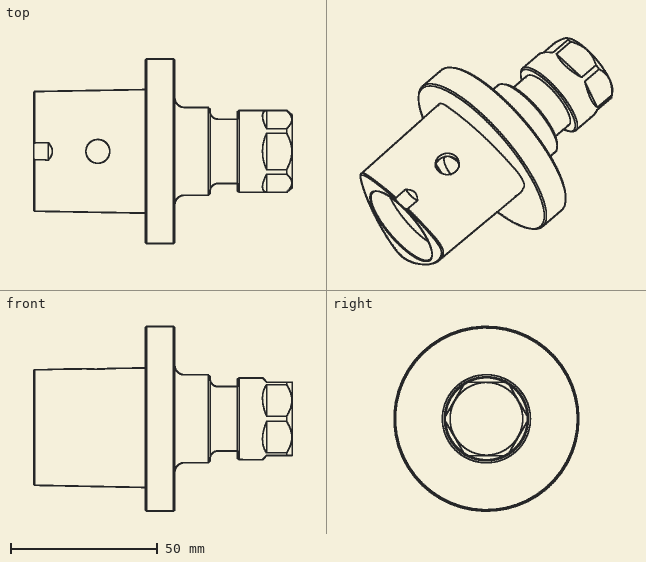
import cadquery as cq
import math

TOTAL_LENGTH = 88.1
FLANGE_START = 38.0
FLANGE_END = 48.1
SHANK_END = 60.1
NUT_START = 69.4

FLANGE_DIAMETER = 63.0
FLANGE_CHAMFER = 0.5
SHANK_DIAMETER = 30.0
SHANK_CHAMFER = 0.7
SHANK_FILLET = 3.2
NECK_DIAMETER = 22.0
NECK_FILLET = 2.6

LOBE_CENTRE_OFFSET = 17.4
LOBE_RADIUS = 6.0
SIDE_DISTANCE = 17.35
TAPER_END_SCALE = 0.968
LOBE_ANGLES = (30, 150, 270)
LOBE_SPACING = 120
TAPER_EDGE_CHAMFER = 0.4

MOUTH_DIAMETER = 30.0
MOUTH_CHAMFER = 0.3
MOUTH_DEPTH = 6.25
LIP_START = 7.4
LIP_START_RADIUS = 14.7
LIP_DIAMETER = 27.9
LIP_RADIUS = 3.5
CAVITY_DIAMETER = 30.0
CAVITY_DEPTH = 28.2
COUNTERBORE_DIAMETER = 16.5
COUNTERBORE_DEPTH = FLANGE_END
CORE_DIAMETER = 10.6

CROSS_HOLE_DIAMETER = 8.1
CROSS_HOLE_X = 21.85
KEYWAY_DIAMETER = 8.1
KEYWAY_FLOOR_Z = 15.5
KEYWAY_LENGTH = 5.0

NUT_DIAMETER = 27.9
NUT_BACK_CHAMFER = 0.5
NUT_FRONT_CHAMFER_LENGTH = 1.9
NUT_FRONT_CHAMFER_DEPTH = 1.6
FLAT_COUNT = 6
FLAT_DISTANCE = 12.5
FLAT_START = 79.4


def polar(distance, degrees):
    """Point at a distance and angle from the section centre."""
    angle = math.radians(degrees)
    return (distance * math.cos(angle), distance * math.sin(angle))


def revolve_about_x(profile):
    """Turn a closed (x, radius) profile about the X axis."""
    return profile.close().revolve(360, (0, 0, 0), (1, 0, 0))


def lobed_section(x, scale):
    """Rounded triangle of three flat-crowned sides tangent to three lobes."""
    centre_gap = LOBE_CENTRE_OFFSET ** 2 + SIDE_DISTANCE ** 2 - LOBE_RADIUS ** 2
    along_side = LOBE_CENTRE_OFFSET * math.cos(math.radians(LOBE_SPACING / 2))
    side_radius = (centre_gap - 2 * SIDE_DISTANCE * along_side) / (
        2 * (SIDE_DISTANCE - LOBE_RADIUS - along_side)
    )
    side_centre = side_radius - SIDE_DISTANCE
    across = LOBE_CENTRE_OFFSET * math.sin(math.radians(LOBE_SPACING / 2))
    side_half_angle = math.degrees(math.atan2(across, side_centre + along_side))
    tangent_angle = LOBE_SPACING / 2 - side_half_angle

    def lobe_point(lobe, turn):
        centre = polar(LOBE_CENTRE_OFFSET * scale, lobe)
        rim = polar(LOBE_RADIUS * scale, lobe + turn)
        return (centre[0] + rim[0], centre[1] + rim[1])

    section = cq.Workplane("YZ", origin=(x, 0, 0))
    section = section.moveTo(*lobe_point(LOBE_ANGLES[0], -tangent_angle))
    for lobe in LOBE_ANGLES:
        side_middle = polar(SIDE_DISTANCE * scale, lobe + LOBE_SPACING / 2)
        section = section.threePointArc(lobe_point(lobe, 0), lobe_point(lobe, tangent_angle))
        section = section.threePointArc(side_middle, lobe_point(lobe + LOBE_SPACING, -tangent_angle))
    return section.close().val()


def make_taper():
    wires = [lobed_section(0, TAPER_END_SCALE), lobed_section(FLANGE_START, 1)]
    taper = cq.Workplane(cq.Solid.makeLoft(wires, True))
    return taper.faces("<X").chamfer(TAPER_EDGE_CHAMFER)


def make_turned_blank():
    """Flange, shank and neck as one turned shape."""
    flange_radius = FLANGE_DIAMETER / 2
    shank_radius = SHANK_DIAMETER / 2
    neck_radius = NECK_DIAMETER / 2
    arc_inset = 1 - math.sqrt(0.5)
    profile = (
        cq.Workplane("XY")
        .moveTo(FLANGE_START, 0)
        .lineTo(FLANGE_START, flange_radius - FLANGE_CHAMFER)
        .lineTo(FLANGE_START + FLANGE_CHAMFER, flange_radius)
        .lineTo(FLANGE_END - FLANGE_CHAMFER, flange_radius)
        .lineTo(FLANGE_END, flange_radius - FLANGE_CHAMFER)
        .lineTo(FLANGE_END, shank_radius + SHANK_FILLET)
        .threePointArc(
            (FLANGE_END + SHANK_FILLET * arc_inset, shank_radius + SHANK_FILLET * arc_inset),
            (FLANGE_END + SHANK_FILLET, shank_radius),
        )
        .lineTo(SHANK_END - SHANK_CHAMFER, shank_radius)
        .lineTo(SHANK_END, shank_radius - SHANK_CHAMFER)
        .lineTo(SHANK_END, neck_radius + NECK_FILLET)
        .threePointArc(
            (SHANK_END + NECK_FILLET * arc_inset, neck_radius + NECK_FILLET * arc_inset),
            (SHANK_END + NECK_FILLET, neck_radius),
        )
        .lineTo(NUT_START, neck_radius)
        .lineTo(NUT_START, 0)
    )
    return revolve_about_x(profile)


def make_bore():
    """Stepped bore with a rounded lip behind its mouth, running to the nut."""
    mouth_radius = MOUTH_DIAMETER / 2
    lip_crest = LIP_DIAMETER / 2
    cavity_radius = CAVITY_DIAMETER / 2
    lip_run_in = math.sqrt(LIP_RADIUS ** 2 - (LIP_RADIUS - LIP_START_RADIUS + lip_crest) ** 2)
    lip_run_out = math.sqrt(LIP_RADIUS ** 2 - (LIP_RADIUS - cavity_radius + lip_crest) ** 2)
    lip_crest_x = LIP_START + lip_run_in
    profile = (
        cq.Workplane("XY")
        .lineTo(0, mouth_radius + MOUTH_CHAMFER)
        .lineTo(MOUTH_CHAMFER, mouth_radius)
        .lineTo(MOUTH_DEPTH, mouth_radius)
        .lineTo(LIP_START, LIP_START_RADIUS)
        .threePointArc((lip_crest_x, lip_crest), (lip_crest_x + lip_run_out, cavity_radius))
        .lineTo(CAVITY_DEPTH, cavity_radius)
        .lineTo(CAVITY_DEPTH, COUNTERBORE_DIAMETER / 2)
        .lineTo(COUNTERBORE_DEPTH, COUNTERBORE_DIAMETER / 2)
        .lineTo(COUNTERBORE_DEPTH, CORE_DIAMETER / 2)
        .lineTo(NUT_START, CORE_DIAMETER / 2)
        .lineTo(NUT_START, 0)
    )
    return revolve_about_x(profile)


def make_cross_hole():
    """Radial hole through the top wall only."""
    return (
        cq.Workplane("XY", origin=(CROSS_HOLE_X, 0, 0))
        .circle(CROSS_HOLE_DIAMETER / 2)
        .extrude(FLANGE_DIAMETER / 2)
    )


def make_keyway():
    """Round-bottomed keyway ending in a 45 degree cone."""
    radius = KEYWAY_DIAMETER / 2
    axis_z = KEYWAY_FLOOR_Z + radius
    profile = (
        cq.Workplane("XY", origin=(0, 0, axis_z))
        .lineTo(0, radius)
        .lineTo(KEYWAY_LENGTH, radius)
        .lineTo(KEYWAY_LENGTH + radius, 0)
    )
    return revolve_about_x(profile)


def make_holder():
    holder = make_taper().union(make_turned_blank())
    return holder.cut(make_bore()).cut(make_cross_hole()).cut(make_keyway())


def make_flat_cutter():
    """Stock above one wrench flat, with a 45 degree run-out."""
    run_out = NUT_DIAMETER - FLAT_DISTANCE
    return (
        cq.Workplane("XZ")
        .moveTo(FLAT_START, FLAT_DISTANCE)
        .lineTo(TOTAL_LENGTH, FLAT_DISTANCE)
        .lineTo(TOTAL_LENGTH, FLAT_DISTANCE + run_out)
        .lineTo(FLAT_START - run_out, FLAT_DISTANCE + run_out)
        .close()
        .extrude(NUT_DIAMETER / 2, both=True)
    )


def make_nut():
    radius = NUT_DIAMETER / 2
    profile = (
        cq.Workplane("XY")
        .moveTo(NUT_START, 0)
        .lineTo(NUT_START, radius - NUT_BACK_CHAMFER)
        .lineTo(NUT_START + NUT_BACK_CHAMFER, radius)
        .lineTo(TOTAL_LENGTH - NUT_FRONT_CHAMFER_LENGTH, radius)
        .lineTo(TOTAL_LENGTH, radius - NUT_FRONT_CHAMFER_DEPTH)
        .lineTo(TOTAL_LENGTH, 0)
    )
    nut = revolve_about_x(profile)
    flat_cutter = make_flat_cutter()
    for index in range(FLAT_COUNT):
        turn = index * 360 / FLAT_COUNT
        nut = nut.cut(flat_cutter.rotate((0, 0, 0), (1, 0, 0), turn))
    return nut


holder = make_holder()
nut = make_nut()
result = cq.Compound.makeCompound([holder.val(), nut.val()])